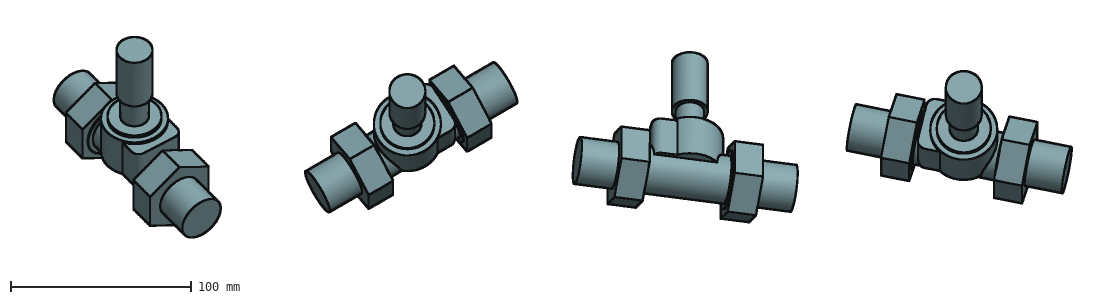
import cadquery as cq

total_length = 122.0
pipe_end_diameter = 26.4
body_diameter = 27.0

nut_across_flats = 40.0
nut_width = 16.0
nut_inner_face_x = 24.0
collar_diameter = 33.2
collar_thickness = 0.6
body_length = 2 * nut_inner_face_x

bonnet_x = -2.6
bonnet_diameter = 37.2
bonnet_top_z = 26.5
cap_diameter = 30.0
cap_top_z = 28.3
stem_diameter = 16.0
knob_diameter = 20.0
knob_bottom_z = 46.2
knob_top_z = 81.0

lug_end_x = 21.1
lug_width = 31.2
lug_top_z = 25.0
lug_corner_radius = 5.0


def cylinder_x(diameter, start_x, length):
    """Cylinder along the pipe axis."""
    return cq.Workplane("YZ").workplane(offset=start_x).circle(diameter / 2).extrude(length)


def cylinder_z(diameter, bottom_z, top_z):
    """Cylinder along the bonnet axis."""
    return (
        cq.Workplane("XY", origin=(bonnet_x, 0, bottom_z))
        .circle(diameter / 2)
        .extrude(top_z - bottom_z)
    )


def union_nut():
    """Hexagon nut on the +X side, flats facing +Y and -Y, with its collar."""
    hexagon = (
        cq.Workplane("YZ")
        .workplane(offset=nut_inner_face_x)
        .polygon(6, nut_across_flats, circumscribed=True)
        .extrude(nut_width)
    )
    collar = cylinder_x(collar_diameter, nut_inner_face_x - collar_thickness, collar_thickness)
    return hexagon.union(collar)


def lug():
    """Block from the bonnet axis outwards, with rounded outer corners."""
    return (
        cq.Workplane("XY")
        .box(lug_end_x - bonnet_x, lug_width, lug_top_z, centered=(False, True, False))
        .translate((bonnet_x, 0, 0))
        .edges("|Z and >X")
        .fillet(lug_corner_radius)
    )


def bonnet():
    """Bonnet, cap, stem and knob stacked on one axis, with the lug."""
    return (
        cylinder_z(bonnet_diameter, 0, bonnet_top_z)
        .union(lug())
        .union(cylinder_z(cap_diameter, bonnet_top_z, cap_top_z))
        .union(cylinder_z(stem_diameter, cap_top_z, knob_bottom_z))
        .union(cylinder_z(knob_diameter, knob_bottom_z, knob_top_z))
    )


nut = union_nut()
result = (
    cylinder_x(pipe_end_diameter, -total_length / 2, total_length)
    .union(cylinder_x(body_diameter, -body_length / 2, body_length))
    .union(nut)
    .union(nut.mirror("YZ"))
    .union(bonnet())
)